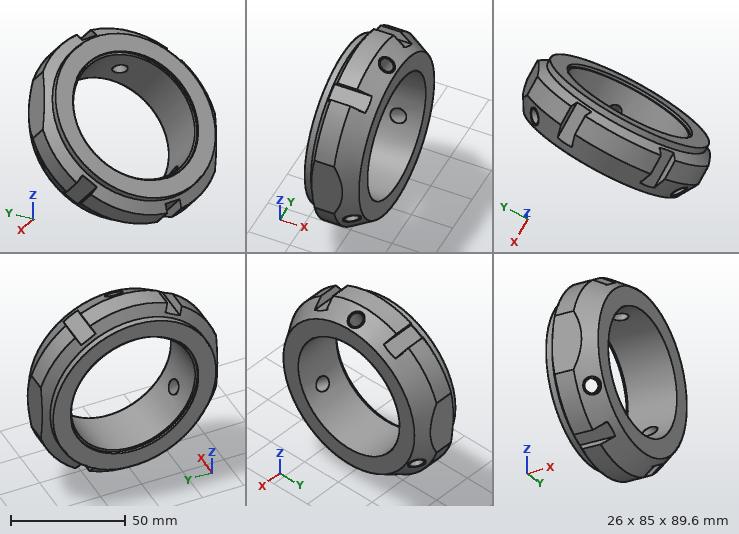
import cadquery as cq
import math

width = 26.0
outer_radius = 44.8
collar_radius = 79.0 / 2
collar_length = 3.05
rim_start = 6.2
rim_end = 15.7
cone_angle = 30.0
cone_end_radius = outer_radius - (width - rim_end) * math.tan(math.radians(cone_angle))

bore_radius = 60.0 / 2
counterbore_radius = 62.0 / 2
counterbore_depth = 1.35

across_flats = 85.0

slot_width = 8.1
slot_floor_radius = 41.0
slot_angles = (30, 150, 210, 330)

hole_diameter = 6.6
hole_mouth_diameter = 8.1
hole_spotface_depth = 0.3
hole_count = 3
hole_x = 21.3

tool_margin = 9.0


def ring_body():
    profile = [
        (0, counterbore_radius),
        (0, collar_radius),
        (collar_length, collar_radius),
        (rim_start, outer_radius),
        (rim_end, outer_radius),
        (width, cone_end_radius),
        (width, bore_radius),
        (counterbore_depth, bore_radius),
        (counterbore_depth, counterbore_radius),
    ]
    return cq.Workplane("XY").polyline(profile).close().revolve(360, (0, 0, 0), (1, 0, 0))


def flats_envelope():
    return cq.Workplane("XY").box(width, across_flats, 2 * outer_radius).translate((width / 2, 0, 0))


def spanner_slot(angle):
    slot = cq.Workplane("XY").box(width, slot_width, tool_margin, centered=(False, True, False))
    return slot.translate((0, 0, slot_floor_radius)).rotate((0, 0, 0), (1, 0, 0), angle)


def screw_hole(angle):
    """Spotfaced hole from the cone surface into the bore."""
    slope = math.radians(cone_angle)
    mouth_radius = outer_radius - (hole_x - rim_end) * math.tan(slope)
    mouth = cq.Vector(hole_x, 0, mouth_radius)
    inward = cq.Vector(-math.sin(slope), 0, -math.cos(slope))
    depth = (mouth_radius - bore_radius) / math.cos(slope) + tool_margin
    drill = cq.Solid.makeCylinder(hole_diameter / 2, depth, mouth, inward)
    spotface = cq.Solid.makeCylinder(
        hole_mouth_diameter / 2,
        tool_margin,
        mouth + inward * hole_spotface_depth,
        inward * -1,
    )
    cutter = cq.Workplane(drill.fuse(spotface))
    return cutter.rotate((0, 0, 0), (1, 0, 0), angle)


result = ring_body().intersect(flats_envelope())
for slot_angle in slot_angles:
    result = result.cut(spanner_slot(slot_angle))
for index in range(hole_count):
    result = result.cut(screw_hole(index * 360 / hole_count))